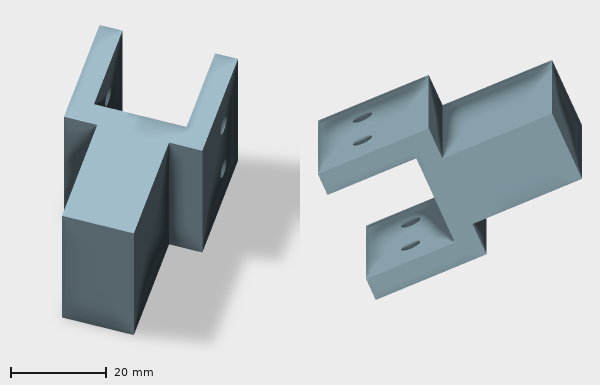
import cadquery as cq

width = 30.2
length = 50.1
height = 35.0

wall = 5.0
fork_length = 25.2
tongue_width = 15.7
tongue_length = length - fork_length
slot_width = width - 2 * wall
slot_length = fork_length - wall

hole_diameter = 4.3
hole_spacing = 15.0
hole_from_fork_end = 10.1


def centred_block(size_x, size_y, start_y):
    """Full-height block centred on X, running toward +Y from start_y."""
    block = cq.Workplane("XY").box(size_x, size_y, height, centered=(True, False, False))
    return block.translate((0, start_y, 0))


def cross_hole(z):
    """Cylinder along X that passes through both fork arms."""
    hole = cq.Workplane("YZ").circle(hole_diameter / 2).extrude(width / 2, both=True)
    return hole.translate((0, length - hole_from_fork_end, z))


tongue = centred_block(tongue_width, tongue_length, 0)
fork = centred_block(width, fork_length, tongue_length)
slot = centred_block(slot_width, slot_length, length - slot_length)

result = tongue.union(fork).cut(slot)
for side in (-1, 1):
    result = result.cut(cross_hole(height / 2 + side * hole_spacing / 2))